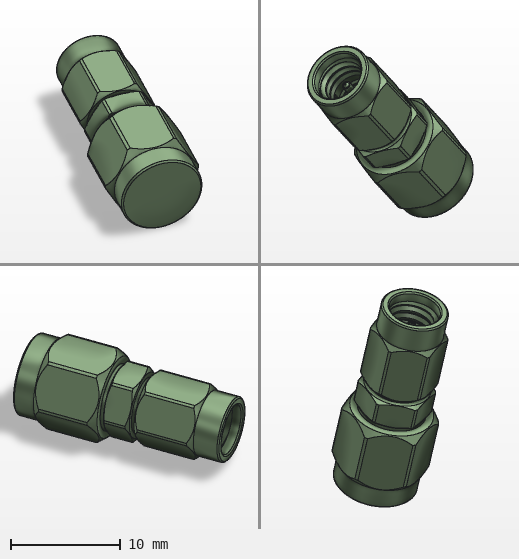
import cadquery as cq
import math


length = 20.1
small_nut_start = 2.5
small_nut_end = 8.39
middle_nut_start = 8.85
middle_nut_end = 11.4
large_nut_start = 11.72
large_nut_end = 18.05

small_flats = 6.35
small_corner_radius = 7.18 / 2
large_flats = 7.95
large_corner_radius = 8.99 / 2

small_barrel_radius = 3.12
small_barrel_chamfer = 0.15
neck_radius = 2.67
collar_radius = 3.2
large_barrel_radius = 3.9
large_barrel_chamfer = 0.16

small_nut_chamfer = 0.48
middle_nut_chamfer = 0.25
middle_nut_face_radius = 3.14
large_nut_chamfer = 0.75

bore_radius = 2.37
bore_mouth_chamfer = 0.15
bore_depth = 1.0
thread_crest_radius = 1.97
floor_depth = 4.22
socket_radius = 1.6
socket_depth = 4.42
insulator_radius = 1.3
insulator_depth = 4.63

thread_pitch = 0.85
thread_root_radius = 2.35
thread_crest_width = 0.2
thread_root_width = 0.12
thread_groove_start = 0.62
thread_groove_end = 3.82
thread_overlap = 0.02

pin_radius = 0.4
pin_shoulder_depth = 1.85
pin_tip_base_radius = 0.28
pin_tip_radius = 0.08
pin_tip_length = 0.2


def turned(profile):
    """Solid of revolution about X from (x, radius) points; the first and last lie on the axis."""
    return cq.Workplane("XY").polyline(profile).close().revolve(360, (0, 0), (1, 0))


def barrel(start, end, radius):
    """Plain cylinder on the X axis."""
    return cq.Workplane("YZ").workplane(offset=start).circle(radius).extrude(end - start)


def hex_nut(start, end, flats, corner_radius, face_radius, chamfer):
    """Hexagon with corners on Y, turned round at the corners and coned at both ends."""
    across_corners = flats / math.cos(math.radians(30))
    hexagon = cq.Workplane("YZ").workplane(offset=start).polygon(6, across_corners)
    blank = turned([
        (start, 0),
        (start, face_radius),
        (start + chamfer, corner_radius),
        (end - chamfer, corner_radius),
        (end, face_radius),
        (end, 0),
    ])
    return hexagon.extrude(end - start).intersect(blank)


def make_body():
    small_barrel = barrel(0, small_nut_start, small_barrel_radius)
    small_barrel = small_barrel.faces("<X").chamfer(small_barrel_chamfer)
    large_barrel = barrel(large_nut_end, length, large_barrel_radius)
    large_barrel = large_barrel.faces(">X").chamfer(large_barrel_chamfer)
    small_nut = hex_nut(small_nut_start, small_nut_end, small_flats,
                        small_corner_radius, small_barrel_radius, small_nut_chamfer)
    middle_nut = hex_nut(middle_nut_start, middle_nut_end, small_flats,
                         small_corner_radius, middle_nut_face_radius, middle_nut_chamfer)
    large_nut = hex_nut(large_nut_start, large_nut_end, large_flats,
                        large_corner_radius, large_barrel_radius, large_nut_chamfer)
    neck = barrel(small_nut_end, middle_nut_start, neck_radius)
    collar = barrel(middle_nut_end, large_nut_start, collar_radius)
    body = small_barrel
    for section in (small_nut, neck, middle_nut, collar, large_nut, large_barrel):
        body = body.union(section)
    return body


def make_bore():
    return turned([
        (0, 0),
        (0, bore_radius + bore_mouth_chamfer),
        (bore_mouth_chamfer, bore_radius),
        (bore_depth, bore_radius),
        (bore_depth + bore_radius - thread_crest_radius, thread_crest_radius),
        (floor_depth, thread_crest_radius),
        (floor_depth, socket_radius),
        (socket_depth, socket_radius),
        (socket_depth, insulator_radius),
        (insulator_depth, insulator_radius),
        (insulator_depth, 0),
    ])


def make_thread_groove():
    """Right-handed helical groove; its section lies in the XZ plane on the +Z side."""
    start = thread_groove_start
    half_root = thread_root_width / 2
    half_crest = (thread_pitch - thread_crest_width) / 2
    flank_slope = (half_crest - half_root) / (thread_root_radius - thread_crest_radius)
    half_mouth = half_crest + flank_slope * thread_overlap
    inner_radius = thread_crest_radius - thread_overlap
    helix = cq.Wire.makeHelix(thread_pitch, thread_groove_end - start, thread_crest_radius,
                              center=cq.Vector(start, 0, 0), dir=cq.Vector(1, 0, 0))
    section = cq.Workplane("XZ").polyline([
        (start - half_mouth, inner_radius),
        (start - half_root, thread_root_radius),
        (start + half_root, thread_root_radius),
        (start + half_mouth, inner_radius),
    ]).close()
    return section.sweep(cq.Workplane(obj=helix), isFrenet=True)


def make_pin():
    tip_end = pin_shoulder_depth - pin_tip_length
    return turned([
        (insulator_depth, 0),
        (insulator_depth, pin_radius),
        (pin_shoulder_depth, pin_radius),
        (pin_shoulder_depth, pin_tip_base_radius),
        (tip_end, pin_tip_radius),
        (tip_end, 0),
    ])


result = make_body().cut(make_bore()).cut(make_thread_groove()).union(make_pin())